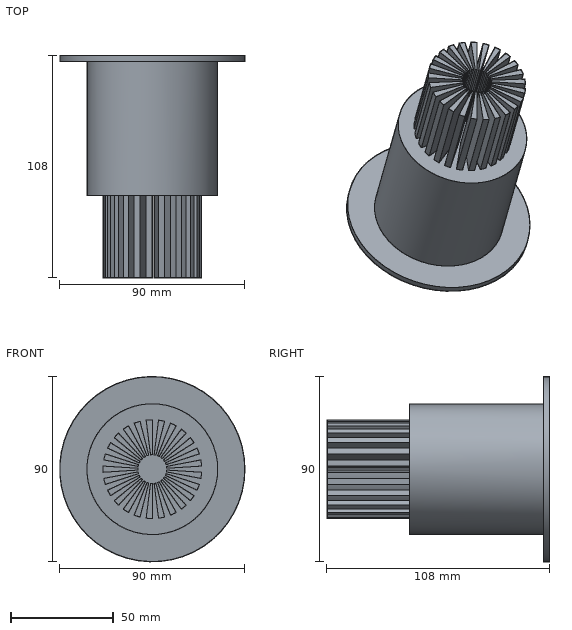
import cadquery as cq
import math

total_length = 108.0
flange_diameter = 90.0
flange_thickness = 3.0
body_diameter = 63.5
fin_length = 40.0
fin_outer_radius = 24.0
fin_inner_radius = 7.0
fin_count = 25

body_length = total_length - flange_thickness - fin_length
fin_pitch = 360.0 / fin_count
fin_angle = fin_pitch / 2
first_fin_angle = 180.0

fin_end_y = 0.0
body_front_y = fin_end_y + fin_length
flange_front_y = body_front_y + body_length


def disc(diameter, start_y, length):
    """Solid cylinder on the Y axis, growing from start_y towards +Y."""
    plane = cq.Workplane("XZ", origin=(0, start_y, 0))
    return plane.circle(diameter / 2).extrude(-length)


def polar(radius, angle):
    """Point in the XZ plane at an angle in degrees from +X."""
    turn = math.radians(angle)
    return (radius * math.cos(turn), radius * math.sin(turn))


def fin(centre_angle):
    """Ring-sector fin standing on the front face of the body."""
    start = centre_angle - fin_angle / 2
    end = centre_angle + fin_angle / 2
    return (
        cq.Workplane("XZ", origin=(0, fin_end_y, 0))
        .moveTo(*polar(fin_inner_radius, start))
        .lineTo(*polar(fin_outer_radius, start))
        .threePointArc(polar(fin_outer_radius, centre_angle), polar(fin_outer_radius, end))
        .lineTo(*polar(fin_inner_radius, end))
        .threePointArc(polar(fin_inner_radius, centre_angle), polar(fin_inner_radius, start))
        .close()
        .extrude(-fin_length)
    )


flange = disc(flange_diameter, flange_front_y, flange_thickness)
body = disc(body_diameter, body_front_y, body_length)

result = flange.union(body)
for index in range(fin_count):
    result = result.union(fin(first_fin_angle + index * fin_pitch))